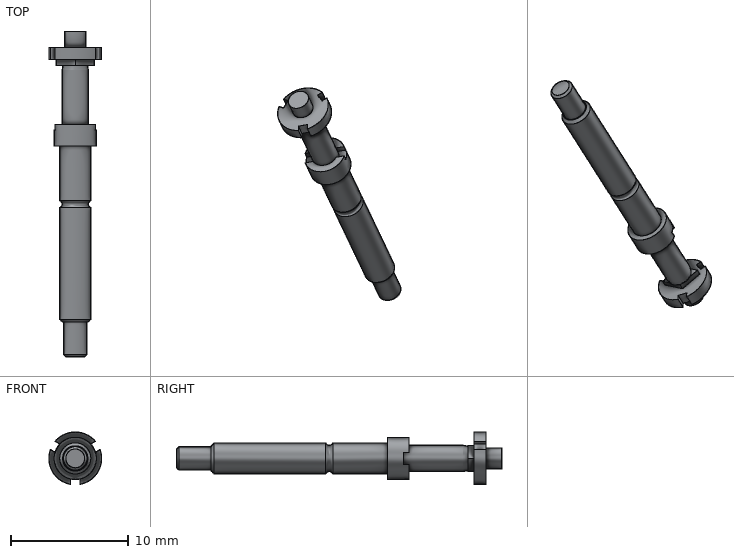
import cadquery as cq


TOTAL_LENGTH = 27.7
STUB_LENGTH = 1.35
FLANGE_THICKNESS = 1.05
RHOMB_THICKNESS = 0.5
NECK_LENGTH = 5.0
COLLAR_LENGTH = 1.85
TAIL_LENGTH = 2.95
FLANGE_START = STUB_LENGTH
FLANGE_END = FLANGE_START + FLANGE_THICKNESS
NECK_START = FLANGE_END + RHOMB_THICKNESS
COLLAR_START = NECK_START + NECK_LENGTH
COLLAR_END = COLLAR_START + COLLAR_LENGTH
BODY_END = TOTAL_LENGTH - TAIL_LENGTH

STUB_DIAMETER = 1.8
FLANGE_DIAMETER = 4.5
NECK_DIAMETER = 2.25
COLLAR_DIAMETER = 3.6
BODY_DIAMETER = 2.65
TAIL_DIAMETER = 2.0

RHOMB_WIDTH = 3.25
RHOMB_HEIGHT = 2.2

NECK_TAPER_LENGTH = 0.4
NECK_TAPER_DEPTH = 0.08
BODY_CHAMFER = 0.25
TAIL_CHAMFER = 0.2

GROOVE_START = 14.4
GROOVE_WIDTH = 0.6
GROOVE_DEPTH = 0.2

FLANGE_NOTCH_COUNT = 3
FLANGE_NOTCH_WIDTH = 0.8
FLANGE_NOTCH_FLOOR_RADIUS = 1.75
COLLAR_SLOT_WIDTH = 1.0
COLLAR_SLOT_DEPTH = 0.5


def cylinder(start, end, diameter):
    """Round section about the Y axis between two stations."""
    return cq.Workplane("XZ", origin=(0, -start, 0)).circle(diameter / 2).extrude(end - start)


def make_flange():
    """Disc with notches cut into its rim, the first one at the bottom."""
    flange = cylinder(FLANGE_START, FLANGE_END, FLANGE_DIAMETER)
    notch_depth = FLANGE_DIAMETER / 2 - FLANGE_NOTCH_FLOOR_RADIUS
    notch = (
        cq.Workplane("XZ", origin=(0, -FLANGE_START, 0))
        .center(0, -FLANGE_NOTCH_FLOOR_RADIUS - notch_depth / 2)
        .rect(FLANGE_NOTCH_WIDTH, notch_depth)
        .extrude(FLANGE_THICKNESS)
    )
    for index in range(FLANGE_NOTCH_COUNT):
        angle = index * 360 / FLANGE_NOTCH_COUNT
        flange = flange.cut(notch.rotate((0, 0, 0), (0, 1, 0), angle))
    return flange


def make_rhomb():
    """Thin rhombic plate, its long diagonal along X."""
    return (
        cq.Workplane("XZ", origin=(0, -FLANGE_END, 0))
        .polyline([
            (RHOMB_WIDTH / 2, 0),
            (0, RHOMB_HEIGHT / 2),
            (-RHOMB_WIDTH / 2, 0),
            (0, -RHOMB_HEIGHT / 2),
        ])
        .close()
        .extrude(RHOMB_THICKNESS)
    )


def make_neck():
    """Neck with a slight taper toward the rhombic plate."""
    return (
        cylinder(NECK_START, COLLAR_START, NECK_DIAMETER)
        .faces(">Y")
        .chamfer(NECK_TAPER_LENGTH, NECK_TAPER_DEPTH)
    )


def make_collar():
    """Collar with open slots on both X sides of its neck-side face."""
    slot = cq.Workplane("XY").box(COLLAR_DIAMETER, COLLAR_SLOT_DEPTH, COLLAR_SLOT_WIDTH)
    slot = slot.translate((0, -COLLAR_START - COLLAR_SLOT_DEPTH / 2, 0))
    slot = slot.cut(cylinder(COLLAR_START, COLLAR_END, NECK_DIAMETER))
    return cylinder(COLLAR_START, COLLAR_END, COLLAR_DIAMETER).cut(slot)


def make_body():
    """Main rod with a chamfered end and a shallow groove."""
    body = cylinder(COLLAR_END, BODY_END, BODY_DIAMETER).faces("<Y").chamfer(BODY_CHAMFER)
    outer = BODY_DIAMETER / 2
    groove_middle = GROOVE_START + GROOVE_WIDTH / 2
    groove_end = GROOVE_START + GROOVE_WIDTH
    groove = (
        cq.Workplane("XY")
        .moveTo(outer, -GROOVE_START)
        .threePointArc((outer - GROOVE_DEPTH, -groove_middle), (outer, -groove_end))
        .close()
        .revolve(360, (0, 0, 0), (0, 1, 0))
    )
    return body.cut(groove)


def make_tail():
    """Slim tail pin with a chamfered tip."""
    return cylinder(BODY_END, TOTAL_LENGTH, TAIL_DIAMETER).faces("<Y").chamfer(TAIL_CHAMFER)


result = (
    cylinder(0, FLANGE_START, STUB_DIAMETER)
    .union(make_flange())
    .union(make_rhomb())
    .union(make_neck())
    .union(make_collar())
    .union(make_body())
    .union(make_tail())
)